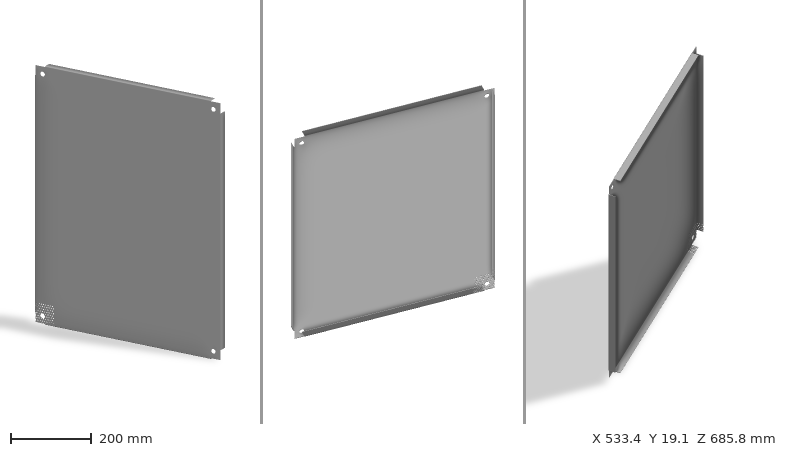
import cadquery as cq

width = 533.4
depth = 19.05
height = 685.8

thickness = 1.367
inner_bend_radius = 0.794
outer_bend_radius = inner_bend_radius + thickness

flange_end_gap = 29.39
plate_edge_inset = 2.54

mount_hole_diameter = 12.7
mount_hole_inset = 22.225

perforation_diameter = 3.175
perforation_pitch = 6.35
perforation_stagger = perforation_pitch / 2
perforation_rows = 9
plate_columns = 8
flange_lines = 3
first_row_height = 2.25
first_column_inset = 2.475
first_flange_line = perforation_stagger
first_flange_hole = flange_end_gap + perforation_diameter / 2
perforation_cut_depth = outer_bend_radius


def flanged_channel(span, length):
    """Folded U channel along Z: its web is on the front and its two flanges point toward +Y."""
    outer = cq.Workplane("XY").rect(span, 2 * depth).extrude(length).edges("|Z").fillet(outer_bend_radius)
    inner = (
        cq.Workplane("XY")
        .rect(span - 2 * thickness, 2 * (depth - thickness))
        .extrude(length)
        .edges("|Z")
        .fillet(inner_bend_radius)
    )
    front_half = (
        cq.Workplane("XY")
        .box(span, depth, length, centered=(True, False, False))
        .translate((0, -depth, 0))
    )
    return outer.cut(inner).intersect(front_half).translate((0, depth, -length / 2))


def folded_panel():
    """Flat plate with a flange folded back along each side and notched corners."""
    plate = cq.Workplane("XY").box(
        width - 2 * plate_edge_inset,
        thickness,
        height - 2 * plate_edge_inset,
        centered=(True, False, True),
    )
    side_flanges = flanged_channel(width, height - 2 * flange_end_gap)
    end_flanges = flanged_channel(height, width - 2 * flange_end_gap).rotate((0, 0, 0), (0, 1, 0), 90)
    return plate.union(side_flanges).union(end_flanges)


def mounting_holes():
    """Through-hole cutters at the four corners of the plate."""
    return (
        cq.Workplane("XZ")
        .rect(width - 2 * mount_hole_inset, height - 2 * mount_hole_inset, forConstruction=True)
        .vertices()
        .circle(mount_hole_diameter / 2)
        .extrude(-thickness)
    )


def row_height(row):
    """Height of a perforation row above the lower flange's outer face."""
    return first_row_height + row * perforation_pitch


def row_insets(row):
    """Distances of a row's holes from the left flange; odd rows start at the plate's left edge."""
    is_odd = row % 2 == 1
    start = first_column_inset + (0 if is_odd else perforation_stagger)
    columns = plate_columns + (1 if is_odd else 0)
    return [start + column * perforation_pitch for column in range(columns)]


def perforation_pins(plane, centers, length):
    """Round cutters through the lower left corner, at local positions on the given plane."""
    corner = (-width / 2, 0, -height / 2)
    return (
        cq.Workplane(plane, origin=corner)
        .pushPoints(centers)
        .circle(perforation_diameter / 2)
        .extrude(length)
    )


def plate_perforations():
    """Cutters for the plate, as staggered rows along X."""
    centers = []
    for row in range(perforation_rows):
        for inset in row_insets(row):
            centers.append((inset, row_height(row)))
    return perforation_pins("XZ", centers, -perforation_cut_depth)


def left_flange_perforations():
    """Cutters for the left flange; odd rows end with a half hole on its free edge."""
    centers = []
    for row in range(perforation_rows):
        if row_height(row) < first_flange_hole:
            continue
        start = first_flange_line + (perforation_stagger if row % 2 == 1 else 0)
        for line in range(flange_lines):
            centers.append((start + line * perforation_pitch, row_height(row)))
    return perforation_pins("YZ", centers, perforation_cut_depth)


def lower_flange_perforations():
    """Cutters for the lower flange; columns with a hole at the bend start one stagger further back."""
    centers = []
    for row in (0, 1):
        start = first_flange_line + (perforation_stagger if row % 2 == 0 else 0)
        for inset in row_insets(row):
            if inset < first_flange_hole:
                continue
            for line in range(flange_lines):
                centers.append((inset, start + line * perforation_pitch))
    return perforation_pins("XY", centers, perforation_cut_depth)


panel = (
    folded_panel()
    .cut(mounting_holes())
    .cut(plate_perforations())
    .cut(left_flange_perforations())
    .cut(lower_flange_perforations())
)
result = cq.Workplane(panel.solids().val())